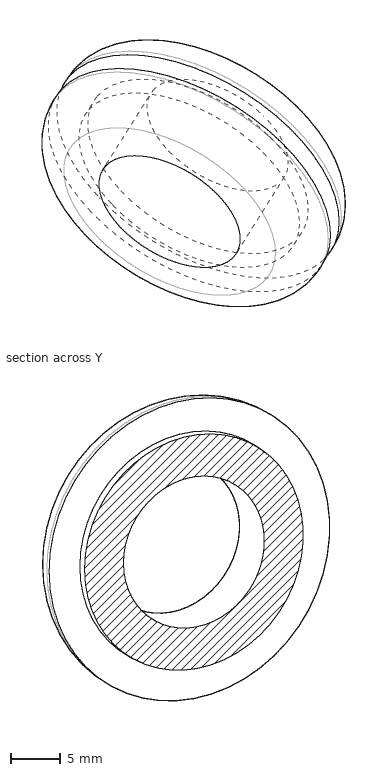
import cadquery as cq

outer_diameter = 32.0
bore_diameter = 16.0
neck_diameter = 25.0
total_width = 11.0
flange_width = 4.5
rounding_radius = 4.0


def flange(start, outer_face):
    """Disc starting at Y = start, with the rim of its outer face rounded."""
    disc = cylinder(outer_diameter, start, flange_width)
    return disc.faces(outer_face).edges().fillet(rounding_radius)


def cylinder(diameter, start, length):
    """Cylinder along +Y, beginning at Y = start."""
    base = cq.Workplane("XZ", origin=(0, start, 0))
    return base.circle(diameter / 2).extrude(-length)


front_face = -total_width / 2
front_flange = flange(front_face, "<Y")
back_flange = flange(total_width / 2 - flange_width, ">Y")

neck = cylinder(neck_diameter, front_face + flange_width, total_width - 2 * flange_width)
bore = cylinder(bore_diameter, front_face, total_width)

result = front_flange.union(neck).union(back_flange).cut(bore)